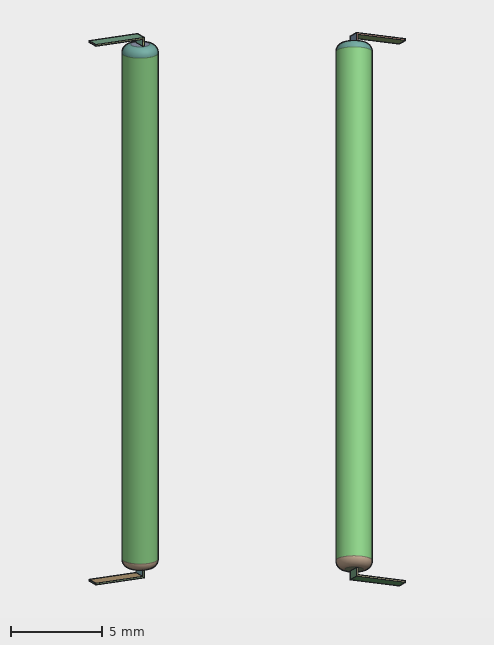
import cadquery as cq

total_height = 31.0
body_diameter = 2.0
body_length = 30.0
end_radius = 0.5
lead_width = 0.85
lead_thickness = 0.1
total_depth = 3.95
lead_embed = 0.3

half_height = total_height / 2
half_body = body_length / 2
lead_reach = total_depth - body_diameter / 2


def make_body():
    """Solid round rod along Z with rounded ends."""
    body = cq.Workplane("XY", origin=(0, 0, -half_body)).circle(body_diameter / 2).extrude(body_length)
    return body.edges("%CIRCLE").fillet(end_radius)


def make_top_lead():
    """Flat strip rising from the body end and bent square toward -Y."""
    half_thickness = lead_thickness / 2
    return (
        cq.Workplane("YZ")
        .moveTo(half_thickness, half_body - lead_embed)
        .lineTo(half_thickness, half_height)
        .lineTo(-lead_reach, half_height)
        .lineTo(-lead_reach, half_height - lead_thickness)
        .lineTo(-half_thickness, half_height - lead_thickness)
        .lineTo(-half_thickness, half_body - lead_embed)
        .close()
        .extrude(lead_width / 2, both=True)
    )


top_lead = make_top_lead()
bottom_lead = top_lead.mirror("XY")
result = make_body().union(top_lead).union(bottom_lead)